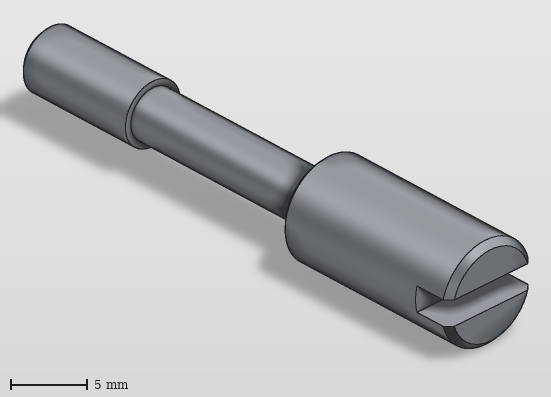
import cadquery as cq

total_length = 42.0
tip_length = 10.0
tip_diameter = 5.0
shank_diameter = 4.0
head_length = 15.75
head_diameter = 8.0
slot_width = 2.0
slot_depth = 3.0
tip_chamfer = 0.35
shoulder_chamfer = 0.4
slot_end_chamfer = 0.5

head_start = total_length - head_length


def cylinder_along_x(start, end, diameter):
    return cq.Workplane("YZ", origin=(start, 0, 0)).circle(diameter / 2).extrude(end - start)


tip = cylinder_along_x(0, tip_length, tip_diameter).faces("<X").chamfer(tip_chamfer)

shank = cylinder_along_x(tip_length, head_start, shank_diameter)

head = cylinder_along_x(head_start, total_length, head_diameter)
head = head.faces("<X").chamfer(shoulder_chamfer)
head = head.faces(">X").chamfer(slot_end_chamfer)

slot = cq.Workplane("XY").box(slot_depth, head_diameter, slot_width).translate(
    (total_length - slot_depth / 2, 0, 0)
)

result = tip.union(shank).union(head).cut(slot)